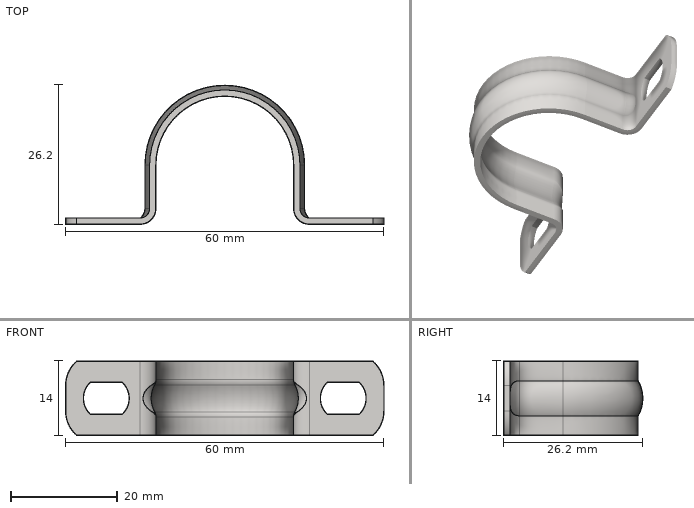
import cadquery as cq
import math

length = 60.0
width = 14.0
thickness = 1.2
inner_radius = 12.95
arch_height = 11.15
bend_radius = 3.0

bead_height = 0.9
bead_width = 6.6
groove_blend = 2.0
runout_radius = 3.6

foot_end_inset = 2.1
foot_end_radius = 6.0
slot_center = 22.3
slot_length = 8.6
slot_height = 6.0
slot_flat = 6.0

outer_radius = inner_radius + thickness
half_length = length / 2
half_width = width / 2
bend_center_x = inner_radius + bend_radius
below_feet = 2 * thickness
diagonal = math.sqrt(0.5)


def bend_point(radius):
    """Middle of a bend arc of the given radius on the right-hand side."""
    return bend_center_x - radius * diagonal, bend_radius - radius * diagonal


def make_filled_arch(radius, fold_radius, foot_level):
    """Solid under one face of the strip, down to well below the feet."""
    bend_x, bend_y = bend_point(fold_radius)
    outline = (
        cq.Workplane("XY")
        .moveTo(half_length, -below_feet)
        .lineTo(half_length, foot_level)
        .lineTo(bend_center_x, foot_level)
        .threePointArc((bend_x, bend_y), (radius, bend_radius))
        .lineTo(radius, arch_height)
        .threePointArc((0, arch_height + radius), (-radius, arch_height))
        .lineTo(-radius, bend_radius)
        .threePointArc((-bend_x, bend_y), (-bend_center_x, foot_level))
        .lineTo(-half_length, foot_level)
        .lineTo(-half_length, -below_feet)
        .close()
    )
    return outline.extrude(half_width, both=True)


def make_foot_outline():
    """Full-length plan outline with a rounded tip on each foot."""
    flat = half_width - math.sqrt(foot_end_radius**2 - (foot_end_radius - foot_end_inset) ** 2)
    corner_x = half_length - foot_end_inset
    return (
        cq.Workplane("XZ")
        .moveTo(-corner_x, -half_width)
        .lineTo(corner_x, -half_width)
        .radiusArc((half_length, -flat), -foot_end_radius)
        .lineTo(half_length, flat)
        .radiusArc((corner_x, half_width), -foot_end_radius)
        .lineTo(-corner_x, half_width)
        .radiusArc((-half_length, flat), -foot_end_radius)
        .lineTo(-half_length, -flat)
        .radiusArc((-corner_x, -half_width), -foot_end_radius)
        .close()
        .extrude(-2 * half_length)
    )


def make_slot(side):
    x = side * slot_center
    half_flat = slot_flat / 2
    half_slot = slot_length / 2
    half_height = slot_height / 2
    return (
        cq.Workplane("XZ")
        .moveTo(x - half_flat, -half_height)
        .lineTo(x + half_flat, -half_height)
        .threePointArc((x + half_slot, 0), (x + half_flat, half_height))
        .lineTo(x - half_flat, half_height)
        .threePointArc((x - half_slot, 0), (x - half_flat, -half_height))
        .close()
        .extrude(-thickness)
    )


half_bead = bead_width / 2
crown_radius = (half_bead**2 + bead_height**2) / (2 * bead_height)
floor_radius = crown_radius - thickness
section_center_x = outer_radius + bead_height - crown_radius


def crown_section(y):
    root_x = inner_radius + thickness / 2
    return (
        cq.Workplane("XZ", origin=(0, y, 0))
        .moveTo(root_x, -half_bead)
        .lineTo(outer_radius, -half_bead)
        .threePointArc((outer_radius + bead_height, 0), (outer_radius, half_bead))
        .lineTo(root_x, half_bead)
        .close()
    )


def groove_section(y):
    blend_center_x = inner_radius + groove_blend
    center_gap = floor_radius + groove_blend
    mouth = math.sqrt(center_gap**2 - (blend_center_x - section_center_x) ** 2)
    floor_share = floor_radius / center_gap
    floor_x = section_center_x + (blend_center_x - section_center_x) * floor_share
    floor_z = mouth * floor_share
    return (
        cq.Workplane("XZ", origin=(0, y, 0))
        .moveTo(inner_radius, -mouth)
        .radiusArc((floor_x, -floor_z), groove_blend)
        .threePointArc((inner_radius + bead_height, 0), (floor_x, floor_z))
        .radiusArc((inner_radius, mouth), groove_blend)
        .close()
    )


def sweep_bead(section):
    """Carry a section round the arch, down both legs and out into the bends."""
    arch = section(arch_height).revolve(180, (0, 0, 0), (0, 1, 0))
    leg = section(arch_height).extrude(arch_height - bend_radius)
    pivot_x = inner_radius + bead_height + runout_radius
    runout = section(bend_radius).revolve(90, (pivot_x, 0, 0), (pivot_x, 1, 0))
    side = leg.union(runout)
    return arch.union(side).union(side.mirror("YZ"))


outside = make_filled_arch(outer_radius, bend_radius - thickness, thickness)
inside = make_filled_arch(inner_radius, bend_radius, 0)
result = outside.union(sweep_bead(crown_section)).cut(inside).cut(sweep_bead(groove_section))
result = result.intersect(make_foot_outline())
for side in (-1, 1):
    result = result.cut(make_slot(side))